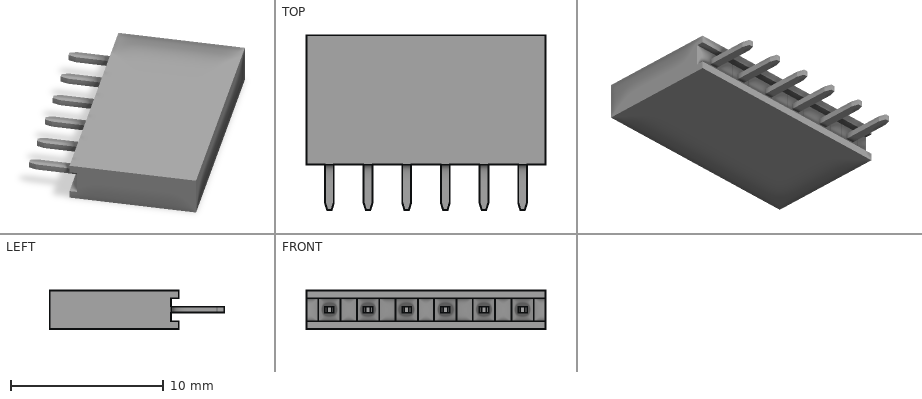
import cadquery as cq

pin_count = 6
pitch = 2.54
end_margin = 0.25
housing_length = pin_count * pitch + 2 * end_margin
housing_depth = 8.5
housing_height = 2.54

channel_height = 1.5
channel_depth = 0.5

seat_width = 1.5
block_width = 1.45
slit_depth = 3.0

pin_width = 0.6
pin_thickness = 0.4
pin_reach = 3.0
tip_length = 0.5
tip_width = 0.3
pin_embed = 0.5

pin_positions = [(i - (pin_count - 1) / 2) * pitch for i in range(pin_count)]


def box_from_front(length, depth, height, x, y_front):
    """Box centred on x and on Z = 0, running from y_front towards +Y."""
    return (
        cq.Workplane("XY")
        .box(length, depth, height, centered=(True, False, True))
        .translate((x, y_front, 0))
    )


def make_housing():
    """Block with an open channel along its pin face."""
    housing = box_from_front(housing_length, housing_depth, housing_height, 0, 0)
    channel = box_from_front(housing_length, channel_depth, channel_height, 0, 0)
    return housing.cut(channel)


def make_slits(x):
    """Two narrow clearance slits, one on each side of a contact block."""
    seat = box_from_front(seat_width, slit_depth, channel_height, x, channel_depth)
    block = box_from_front(block_width, slit_depth, channel_height, x, channel_depth)
    return seat.cut(block)


def make_pin(x):
    """Flat pin whose sides taper in towards its free end."""
    root_y = channel_depth + pin_embed
    shoulder_y = tip_length - pin_reach
    half_width = pin_width / 2
    half_tip = tip_width / 2
    outline = [
        (x - half_width, root_y),
        (x - half_width, shoulder_y),
        (x - half_tip, -pin_reach),
        (x + half_tip, -pin_reach),
        (x + half_width, shoulder_y),
        (x + half_width, root_y),
    ]
    return cq.Workplane("XY").polyline(outline).close().extrude(pin_thickness / 2, both=True)


result = make_housing()
for pin_x in pin_positions:
    result = result.cut(make_slits(pin_x)).union(make_pin(pin_x))